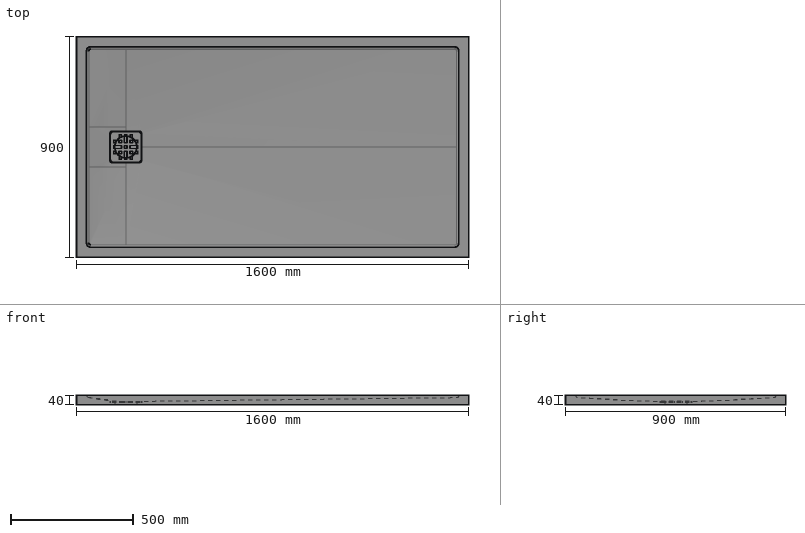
import cadquery as cq

LENGTH = 1600.0
WIDTH = 900.0
HEIGHT = 40.0

RIM_WIDTH = 42.0
WALL_RADIUS = 10.0
BASIN_CORNER_RADIUS = 16.0
basin_length = LENGTH - 2 * RIM_WIDTH
basin_width = WIDTH - 2 * RIM_WIDTH
floor_half_length = basin_length / 2 - WALL_RADIUS
floor_half_width = basin_width / 2 - WALL_RADIUS
floor_corner_radius = BASIN_CORNER_RADIUS - WALL_RADIUS
floor_edge_z = HEIGHT - WALL_RADIUS

FLOOR_FALL = 16.0
DRAIN_X = -598.0
LANDING_HALF_WIDTH = 82.0
SHORT_FALL_STEPS = 2
floor_low_z = floor_edge_z - FLOOR_FALL

SEAT_SIDE = 130.0
SEAT_CORNER_RADIUS = 13.0
SEAT_DEPTH = 3.0
OUTLET_DIAMETER = 90.0
seat_z = floor_low_z - SEAT_DEPTH

GRATE_CLEARANCE = 2.4
SLOT_WIDTH = 10.0
SLOT_PITCH = 22.0
PITCHES_FROM_CENTER = 2
grate_side = SEAT_SIDE - 2 * GRATE_CLEARANCE
grate_corner_radius = SEAT_CORNER_RADIUS - GRATE_CLEARANCE


def rounded_prism(length, width, radius, bottom_z, top_z, center_x=0.0):
    """Upright rectangular prism with rounded vertical edges, centred on Y = 0."""
    return (
        cq.Workplane("XY", origin=(center_x, 0, bottom_z))
        .rect(length, width)
        .extrude(top_z - bottom_z)
        .edges("|Z")
        .fillet(radius)
    )


def dish_arc(x, fall, y_start, y_end):
    """Parabolic floor line at X = x, lower by `fall` at Y = 0 than at the floor edges."""
    def height(y_product):
        return floor_edge_z - fall * (1 - y_product / floor_half_width**2)

    control_points = [
        cq.Vector(x, y_start, height(y_start**2)),
        cq.Vector(x, (y_start + y_end) / 2, height(y_start * y_end)),
        cq.Vector(x, y_end, height(y_end**2)),
    ]
    return cq.Edge.makeBezier(control_points)


def floor_section(x, fall, y_breaks):
    """Closed section of the space over the floor, its floor line split at the Y breaks."""
    floor_line = [dish_arc(x, fall, a, b) for a, b in zip(y_breaks, y_breaks[1:])]
    upper_corners = [
        cq.Vector(x, floor_half_width, floor_edge_z),
        cq.Vector(x, floor_half_width, HEIGHT),
        cq.Vector(x, -floor_half_width, HEIGHT),
        cq.Vector(x, -floor_half_width, floor_edge_z),
    ]
    sides = [cq.Edge.makeLine(a, b) for a, b in zip(upper_corners, upper_corners[1:])]
    return cq.Wire.assembleEdges(floor_line + sides)


def long_fall_space():
    """Space over the straight fall from the +X end of the floor to the drain, creased at Y = 0."""
    y_breaks = [-floor_half_width, 0.0, floor_half_width]
    sections = [
        floor_section(DRAIN_X, FLOOR_FALL, y_breaks),
        floor_section(floor_half_length, 0.0, y_breaks),
    ]
    return cq.Workplane(cq.Solid.makeLoft(sections, True))


def short_fall_space():
    """Space over the fall from the -X end of the floor, which flattens out towards the drain."""
    y_breaks = [-floor_half_width, -LANDING_HALF_WIDTH, LANDING_HALF_WIDTH, floor_half_width]
    run = DRAIN_X + floor_half_length
    sections = []
    for step in range(SHORT_FALL_STEPS + 1):
        from_drain = step / SHORT_FALL_STEPS
        fall = FLOOR_FALL * (1 - from_drain**2)
        sections.append(floor_section(DRAIN_X - run * from_drain, fall, y_breaks))
    return cq.Workplane(cq.Solid.makeLoft(sections))


def make_tray():
    """Block with the basin, the grate seat and the outlet cut from it."""
    tray = cq.Workplane("XY").box(LENGTH, WIDTH, HEIGHT, centered=(True, True, False))

    basin = rounded_prism(
        basin_length, basin_width, BASIN_CORNER_RADIUS, floor_edge_z, 2 * HEIGHT
    )
    tray = tray.cut(basin.faces("<Z").edges().fillet(WALL_RADIUS))

    floor_limit = rounded_prism(
        2 * floor_half_length, 2 * floor_half_width, floor_corner_radius, 0, HEIGHT
    )
    tray = tray.cut(long_fall_space().intersect(floor_limit))
    tray = tray.cut(short_fall_space().intersect(floor_limit))

    seat = rounded_prism(SEAT_SIDE, SEAT_SIDE, SEAT_CORNER_RADIUS, seat_z, HEIGHT, DRAIN_X)
    outlet = cq.Workplane("XY").center(DRAIN_X, 0).circle(OUTLET_DIAMETER / 2).extrude(HEIGHT)
    return tray.cut(seat).cut(outlet)


def make_grate():
    """Square plate pierced by a square hole at its centre, four long slots and twelve square holes."""
    plate = rounded_prism(
        grate_side, grate_side, grate_corner_radius, seat_z, floor_low_z, DRAIN_X
    )
    long_slot = (PITCHES_FROM_CENTER - 1) * SLOT_PITCH + SLOT_WIDTH
    long_slot_offset = (1 + PITCHES_FROM_CENTER) * SLOT_PITCH / 2
    grid = range(-PITCHES_FROM_CENTER, PITCHES_FROM_CENTER + 1)
    square_holes = [
        (column * SLOT_PITCH, row * SLOT_PITCH)
        for column in grid
        for row in grid
        if (column == 0) == (row == 0) and abs(column * row) != PITCHES_FROM_CENTER**2
    ]
    face = cq.Workplane("XY", origin=(DRAIN_X, 0, seat_z))
    plate = plate.cut(
        face.pushPoints(square_holes).rect(SLOT_WIDTH, SLOT_WIDTH).extrude(SEAT_DEPTH)
    )
    for side in (-1, 1):
        along_x = face.center(side * long_slot_offset, 0).rect(long_slot, SLOT_WIDTH)
        plate = plate.cut(along_x.extrude(SEAT_DEPTH))
        along_y = face.center(0, side * long_slot_offset).rect(SLOT_WIDTH, long_slot)
        plate = plate.cut(along_y.extrude(SEAT_DEPTH))
    return plate


tray = make_tray()
grate = make_grate()
result = cq.Compound.makeCompound([tray.val(), grate.val()])